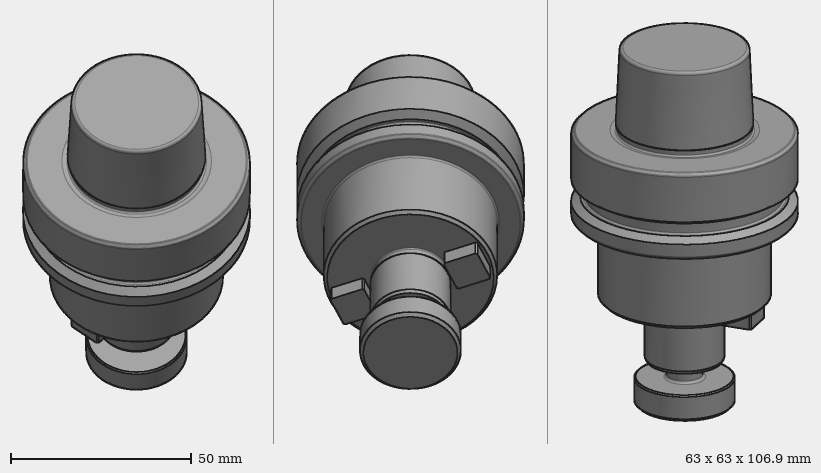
import cadquery as cq

BOLT_HEAD_HEIGHT = 8.0
ARBOR_BOTTOM_Z = 13.1
KEY_BOTTOM_Z = 27.4
RELIEF_BOTTOM_Z = 29.9
BODY_BOTTOM_Z = 32.1
FLANGE_BOTTOM_Z = 55.9
FLANGE_TOP_Z = 82.1
TAPER_BOTTOM_Z = 83.9
TOTAL_HEIGHT = 106.9

TAPER_TOP_RADIUS = 18.1
TAPER_BOTTOM_RADIUS = 19.1
TAPER_EDGE_FILLET = 1.0
NECK_RADIUS = 18.8
NECK_TRANSITION_HEIGHT = 0.3
NECK_FILLET = 0.5
RECESS_RADIUS = 20.7
RECESS_DEPTH = 0.2
RECESS_FLOOR_Z = FLANGE_TOP_Z - RECESS_DEPTH

FLANGE_DIAMETER = 63.0
FLANGE_RADIUS = FLANGE_DIAMETER / 2
FLANGE_HEIGHT = FLANGE_TOP_Z - FLANGE_BOTTOM_Z
FLANGE_CHAMFER = 1.0
FLANGE_EDGE_BLEND = 0.4
GROOVE_FLOOR_RADIUS = 27.7
GROOVE_FLANK_RADIUS = 29.0
GROOVE_FLANK_HEIGHT = 1.5
GROOVE_FLOOR_FILLET = 0.5
GROOVE_BOTTOM_Z = 60.7
GROOVE_TOP_Z = 67.5

BODY_RADIUS = 24.0
BODY_CHAMFER = 1.0
BODY_FILLET = 0.5
RELIEF_RADIUS = 10.8
RELIEF_FILLET = 0.3
ARBOR_RADIUS = 11.1
ARBOR_TOP_CHAMFER = ARBOR_RADIUS - RELIEF_RADIUS
ARBOR_CHAMFER_WIDTH = 0.5
ARBOR_CHAMFER_HEIGHT = 1.0

KEY_SIZE = 10.0
KEY_CENTER_Y = 17.0
KEY_EDGE_CHAMFER = 0.4

BOLT_SHANK_RADIUS = 5.0
BOLT_SHANK_FILLET = 0.7
BOLT_HEAD_RADIUS = 14.0
BOLT_HEAD_TOP_CHAMFER = 0.4
BOLT_HEAD_BOTTOM_CHAMFER = 1.0


def revolve_profile(profile):
    """Close an R-Z outline drawn on the XZ plane and turn it about Z."""
    return profile.close().revolve(360, (0, 0, 0), (0, 1, 0))


def make_taper_shank():
    """Tapered shank with its neck, standing in the recess of the flange."""
    profile = (
        cq.Workplane("XZ")
        .moveTo(0, FLANGE_BOTTOM_Z)
        .lineTo(NECK_RADIUS, FLANGE_BOTTOM_Z)
        .lineTo(NECK_RADIUS, TAPER_BOTTOM_Z - NECK_TRANSITION_HEIGHT)
        .lineTo(TAPER_BOTTOM_RADIUS, TAPER_BOTTOM_Z)
        .lineTo(TAPER_TOP_RADIUS, TOTAL_HEIGHT)
        .lineTo(0, TOTAL_HEIGHT)
    )
    return revolve_profile(profile).faces(">Z").edges().fillet(TAPER_EDGE_FILLET)


def make_gripper_groove():
    """Ring to cut: sloped flanks, flat shoulders and a floor with rounded corners."""
    lower_shoulder_z = GROOVE_BOTTOM_Z + GROOVE_FLANK_HEIGHT
    upper_shoulder_z = GROOVE_TOP_Z - GROOVE_FLANK_HEIGHT
    fillet_start_radius = GROOVE_FLOOR_RADIUS + GROOVE_FLOOR_FILLET
    profile = (
        cq.Workplane("XZ")
        .moveTo(FLANGE_RADIUS, GROOVE_BOTTOM_Z)
        .lineTo(GROOVE_FLANK_RADIUS, lower_shoulder_z)
        .lineTo(fillet_start_radius, lower_shoulder_z)
        .radiusArc((GROOVE_FLOOR_RADIUS, lower_shoulder_z + GROOVE_FLOOR_FILLET), GROOVE_FLOOR_FILLET)
        .lineTo(GROOVE_FLOOR_RADIUS, upper_shoulder_z - GROOVE_FLOOR_FILLET)
        .radiusArc((fillet_start_radius, upper_shoulder_z), GROOVE_FLOOR_FILLET)
        .lineTo(GROOVE_FLANK_RADIUS, upper_shoulder_z)
        .lineTo(FLANGE_RADIUS, GROOVE_TOP_Z)
    )
    return revolve_profile(profile)


def make_neck_recess():
    """Ring to cut: shallow cone in the flange top, rounded up into the neck."""
    profile = (
        cq.Workplane("XZ")
        .moveTo(RECESS_RADIUS, FLANGE_TOP_Z)
        .lineTo(NECK_RADIUS + NECK_FILLET, RECESS_FLOOR_Z)
        .lineTo(NECK_RADIUS, RECESS_FLOOR_Z)
        .lineTo(NECK_RADIUS, FLANGE_TOP_Z)
    )
    return revolve_profile(profile)


def make_neck_fillet():
    """Rounded corner between the neck and the recess floor."""
    profile = (
        cq.Workplane("XZ")
        .moveTo(NECK_RADIUS, RECESS_FLOOR_Z)
        .lineTo(NECK_RADIUS + NECK_FILLET, RECESS_FLOOR_Z)
        .radiusArc((NECK_RADIUS, RECESS_FLOOR_Z + NECK_FILLET), NECK_FILLET)
    )
    return revolve_profile(profile)


def make_flange():
    """Flange disc with softened chamfers, the gripper groove and the neck recess."""
    disc = (
        cq.Workplane("XY", origin=(0, 0, FLANGE_BOTTOM_Z))
        .circle(FLANGE_RADIUS)
        .extrude(FLANGE_HEIGHT)
        .faces("<Z or >Z")
        .edges()
        .chamfer(FLANGE_CHAMFER)
        .edges("%CIRCLE")
        .fillet(FLANGE_EDGE_BLEND)
    )
    return disc.cut(make_gripper_groove()).cut(make_neck_recess())


def make_body_and_arbor():
    """Cylindrical body below the flange, then the relief and the arbor."""
    profile = (
        cq.Workplane("XZ")
        .moveTo(0, ARBOR_BOTTOM_Z)
        .lineTo(ARBOR_RADIUS - ARBOR_CHAMFER_WIDTH, ARBOR_BOTTOM_Z)
        .lineTo(ARBOR_RADIUS, ARBOR_BOTTOM_Z + ARBOR_CHAMFER_HEIGHT)
        .lineTo(ARBOR_RADIUS, RELIEF_BOTTOM_Z - ARBOR_TOP_CHAMFER)
        .lineTo(RELIEF_RADIUS, RELIEF_BOTTOM_Z)
        .lineTo(RELIEF_RADIUS, BODY_BOTTOM_Z - RELIEF_FILLET)
        .radiusArc((RELIEF_RADIUS + RELIEF_FILLET, BODY_BOTTOM_Z), RELIEF_FILLET)
        .lineTo(BODY_RADIUS - BODY_CHAMFER, BODY_BOTTOM_Z)
        .lineTo(BODY_RADIUS, BODY_BOTTOM_Z + BODY_CHAMFER)
        .lineTo(BODY_RADIUS, FLANGE_BOTTOM_Z - BODY_FILLET)
        .radiusArc((BODY_RADIUS + BODY_FILLET, FLANGE_BOTTOM_Z), BODY_FILLET)
        .lineTo(0, FLANGE_BOTTOM_Z)
    )
    return revolve_profile(profile)


def make_key(center_y):
    """Square drive key hanging from the lower face of the body."""
    return (
        cq.Workplane("XY", origin=(0, center_y, KEY_BOTTOM_Z))
        .rect(KEY_SIZE, KEY_SIZE)
        .extrude(BODY_BOTTOM_Z - KEY_BOTTOM_Z)
        .edges("|Z")
        .chamfer(KEY_EDGE_CHAMFER)
    )


def make_holder():
    """Shank, flange, body, arbor and two drive keys as one solid."""
    holder = (
        make_flange()
        .union(make_taper_shank())
        .union(make_neck_fillet())
        .union(make_body_and_arbor())
    )
    for center_y in (-KEY_CENTER_Y, KEY_CENTER_Y):
        holder = holder.union(make_key(center_y))
    return holder


def make_bolt():
    """Retaining bolt whose shank ends on the lower face of the arbor."""
    profile = (
        cq.Workplane("XZ")
        .moveTo(0, 0)
        .lineTo(BOLT_HEAD_RADIUS - BOLT_HEAD_BOTTOM_CHAMFER, 0)
        .lineTo(BOLT_HEAD_RADIUS, BOLT_HEAD_BOTTOM_CHAMFER)
        .lineTo(BOLT_HEAD_RADIUS, BOLT_HEAD_HEIGHT - BOLT_HEAD_TOP_CHAMFER)
        .lineTo(BOLT_HEAD_RADIUS - BOLT_HEAD_TOP_CHAMFER, BOLT_HEAD_HEIGHT)
        .lineTo(BOLT_SHANK_RADIUS + BOLT_SHANK_FILLET, BOLT_HEAD_HEIGHT)
        .radiusArc((BOLT_SHANK_RADIUS, BOLT_HEAD_HEIGHT + BOLT_SHANK_FILLET), BOLT_SHANK_FILLET)
        .lineTo(BOLT_SHANK_RADIUS, ARBOR_BOTTOM_Z)
        .lineTo(0, ARBOR_BOTTOM_Z)
    )
    return revolve_profile(profile)


holder = make_holder()
bolt = make_bolt()

result = cq.Compound.makeCompound([holder.val(), bolt.val()])